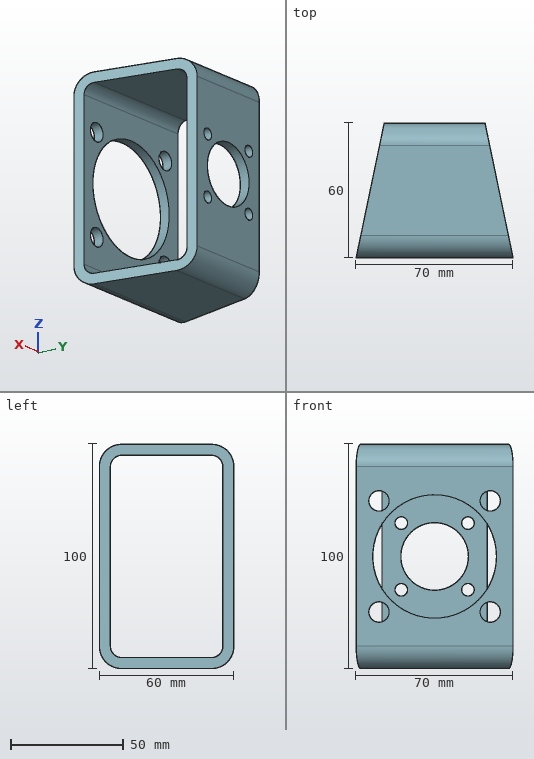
import cadquery as cq
import math

depth = 60.0
height = 100.0
wall = 5.0
outer_radius = 10.0
inner_radius = outer_radius - wall
front_width = 70.0
back_width = 45.0

front_bore = 55.0
front_hole = 9.0
front_bolt_circle = 70.0
back_bore = 30.0
back_hole = 5.5
back_bolt_circle = 42.0


def rounded_bar(size_y, size_z, radius):
    """Solid bar along X, centred on the origin, with rounded long edges."""
    return cq.Workplane("XY").box(front_width, size_y, size_z).edges("|X").fillet(radius)


def wall_cutter(wall_start, bore, hole, bolt_circle):
    """Cylinders along Y spanning one wall, starting at Y = wall_start."""
    pitch = bolt_circle / math.sqrt(2)
    plane = cq.Workplane("XZ").workplane(offset=-wall_start)
    centre_bore = plane.circle(bore / 2).extrude(-wall)
    bolt_holes = plane.rect(pitch, pitch, forConstruction=True).vertices().circle(hole / 2).extrude(-wall)
    return centre_bore.union(bolt_holes)


tube = rounded_bar(depth, height, outer_radius).cut(
    rounded_bar(depth - 2 * wall, height - 2 * wall, inner_radius)
)

tapered_outline = (
    cq.Workplane("XY")
    .workplane(offset=-height / 2)
    .polyline([
        (-front_width / 2, -depth / 2),
        (front_width / 2, -depth / 2),
        (back_width / 2, depth / 2),
        (-back_width / 2, depth / 2),
    ])
    .close()
    .extrude(height)
)
body = tube.intersect(tapered_outline)

body = body.cut(wall_cutter(-depth / 2, front_bore, front_hole, front_bolt_circle))
result = body.cut(wall_cutter(depth / 2 - wall, back_bore, back_hole, back_bolt_circle))